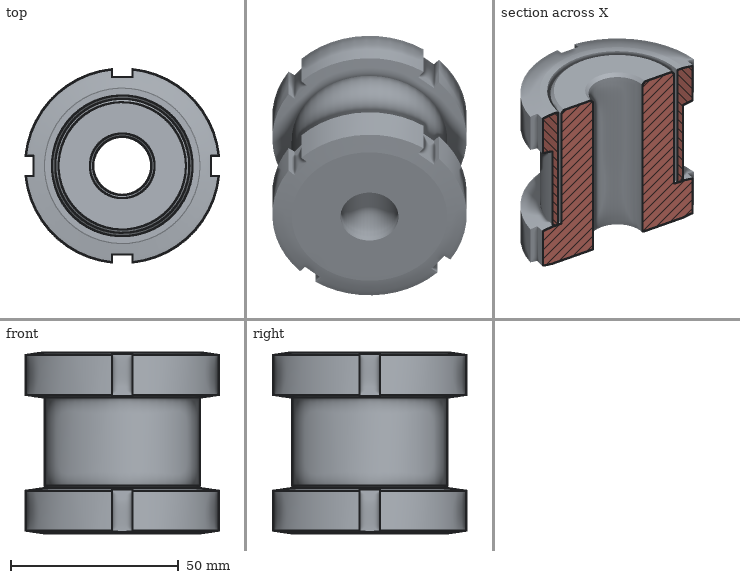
import cadquery as cq
import math

total_height = 54.0
flange_diameter = 58.0
flange_height = 13.5
sleeve_diameter = 46.4
sleeve_bore_diameter = 42.0
spindle_diameter = 40.0
through_bore_diameter = 17.3

rim_taper_angle = 8.0

slot_count = 4
slot_width = 6.0
slot_depth = 2.5

spindle_chamfer = 1.0
sleeve_chamfer = 0.8

flange_radius = flange_diameter / 2
sleeve_radius = sleeve_diameter / 2
sleeve_bore_radius = sleeve_bore_diameter / 2
spindle_radius = spindle_diameter / 2
through_bore_radius = through_bore_diameter / 2
rim_taper_height = (flange_radius - sleeve_radius) * math.tan(math.radians(rim_taper_angle))
upper_flange_bottom = total_height - flange_height


def revolve_about_z(profile):
    """Turn a closed (radius, height) profile about the Z axis."""
    return cq.Workplane("XZ").polyline(profile).close().revolve(360, (0, 0, 0), (0, 1, 0))


def flange_rim(bottom):
    """Profile points of a flange's tapered rim, from its underside to its top face."""
    top = bottom + flange_height
    return [
        (sleeve_radius, bottom),
        (flange_radius, bottom + rim_taper_height),
        (flange_radius, top - rim_taper_height),
        (sleeve_radius, top),
    ]


def cut_spanner_slots(body, bottom):
    """Cut the spanner slots into the flange whose underside is at the given height."""
    slot_floor_radius = flange_radius - slot_depth
    slot = (
        cq.Workplane("XY")
        .box(2 * slot_depth, slot_width, flange_height, centered=(False, True, False))
        .translate((slot_floor_radius, 0, bottom))
    )
    for index in range(slot_count):
        body = body.cut(slot.rotate((0, 0, 0), (0, 0, 1), index * 360 / slot_count))
    return body


def make_base_spindle():
    """Lower flange with the hollow spindle that rises through the sleeve."""
    profile = [
        (through_bore_radius, 0),
        *flange_rim(0),
        (spindle_radius, flange_height),
        (spindle_radius, total_height - spindle_chamfer),
        (spindle_radius - spindle_chamfer, total_height),
        (through_bore_radius + spindle_chamfer, total_height),
        (through_bore_radius, total_height - spindle_chamfer),
    ]
    return cut_spanner_slots(revolve_about_z(profile), 0)


def make_flanged_sleeve():
    """Upper flange with the sleeve that rests on the lower flange around the spindle."""
    profile = [
        (sleeve_bore_radius, flange_height),
        (sleeve_radius - sleeve_chamfer, flange_height),
        (sleeve_radius, flange_height + sleeve_chamfer),
        *flange_rim(upper_flange_bottom),
        (sleeve_bore_radius, total_height),
    ]
    return cut_spanner_slots(revolve_about_z(profile), upper_flange_bottom)


base_spindle = make_base_spindle().solids()
flanged_sleeve = make_flanged_sleeve().solids()

result = cq.Compound.makeCompound([base_spindle.val(), flanged_sleeve.val()])